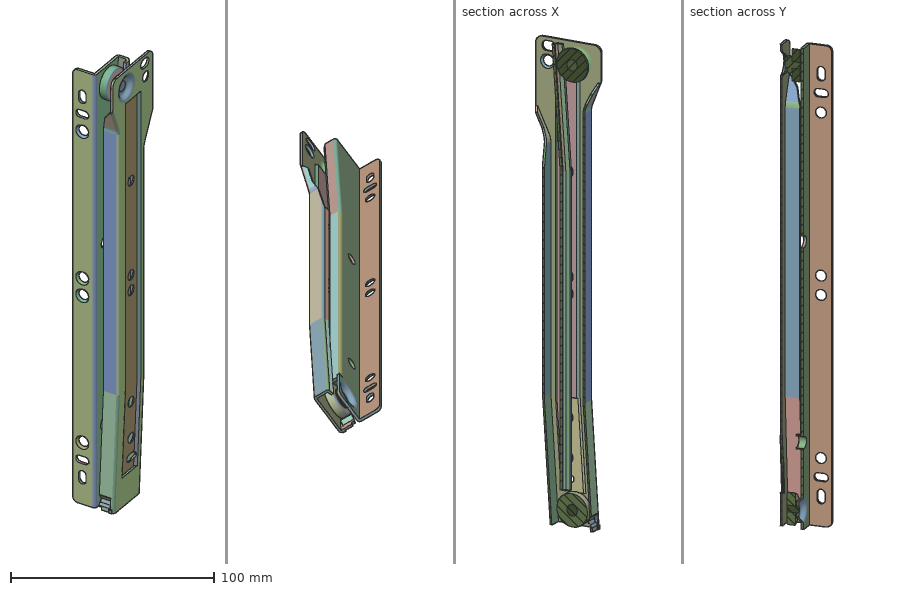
import cadquery as cq


length = 251.2
half_length = length / 2
half_width = 24.4 / 2
half_height = 37.0 / 2
bend_z = 59.0
axle_z = 115.5
axle_y = -5.8
clear = 2.5

drawer_gauge = 1.5
web_x = -0.38
web_inner_x = web_x + drawer_gauge
drawer_top_z = 124.8
flange_edge_x = -half_width
flange_bottom_y = -17.0
flange_top_y = flange_bottom_y + drawer_gauge
flange_corner = 3.0
lip_y = 1.13
lip_rise = 4.5
lip_end_z = -106.0
lip_reach_x = 6.0
hook_x = 7.8
hook_bend = 1.8
hook_drop = 4.8
web_tail_y = 2.3
web_corner = 1.5
flange_hole_x = -6.5
middle_hole_z = 5.0
end_hole_z = 90.0
cross_slot_z = 100.0
long_slot_z = 110.0
slot_length = 7.5
slot_width = 4.3
web_hole_y = -8.5
web_hole_z = 24.0
web_hole_radius = 3.0
collar_z = -80.5
collar_radius = 3.8
collar_height = 2.5
bump_z = -62.5
bump_radius = 2.5
bump_length = 2.0

cabinet_gauge = 1.3
plate_outer_x = half_width
plate_x = plate_outer_x - cabinet_gauge
channel_edge_x = 3.3
rail_end_z = -125.0
channel_drop = 4.3
channel_low_y = -13.0
channel_high_y = 11.0
ear_y = half_height
ear_corner = 3.8
fold_radius = 7.5
ear_low_z = 106.5
channel_low_z = 93.2
ear_high_z = 89.0
channel_high_z = 73.5
channel_lip_z = 52.7
channel_lip_y = 7.5
channel_lip_lean = 0.8
channel_lip_bend = 1.0
lower_taper_points = ((4.5, 96.5), (6.0, 101.5))
slanted_flange_x = 8.5
slanted_flange_low_z = 78.9
slanted_flange_high_z = 86.5
upper_taper_x = 6.8
rib_high_y = 7.3
rib_low_y = -6.8
rib_height = 1.3
rib_slope = 1.5
rib_front_z = 106.8
rib_rear_z = -108.0
rib_panel_y = 4.0
rib_panel_depth = 0.5
cabinet_hole_z = (58.3, 3.8, -5.0, -69.5, -90.5)
cabinet_slot_z = -101.5
ear_hole_y = 11.8
ear_hole_z = 113.0
ear_slot_y = 11.0
ear_slot_z = 121.0
ear_slot_width = 5.3
stop_front_z = -116.8
stop_rear_z = -122.8
stop_depth = 2.0
stop_edge_x = 9.8
foot_y = -17.8
foot_height = 2.0
foot_x = 9.3
flange_notch = 1.5

screw_radius = 2.8
screw_sink_radius = 3.8

dish_radius = 7.8
dish_floor_radius = 3.8
dish_depth = 2.5
roller_radius = 8.8
roller_width = 4.5
roller_edge_fillet = 0.8
roller_gap = 0.38
pin_radius = 2.8
pin_collar_radius = 5.3
pin_collar_chamfer = 0.8


def drop_at(z):
    """Fall of the cabinet channel at a place along Z."""
    return channel_drop * max(0.0, (-bend_z - z) / (-bend_z - rail_end_z))


def x_cylinder(radius, x_start, x_end, y, z):
    return cq.Workplane("YZ", origin=(x_start, y, z)).circle(radius).extrude(x_end - x_start)


def countersunk_hole(point, direction, gauge):
    """Screw hole with a conical seat, cut from a point on the near face along a direction."""
    hole = cq.Solid.makeCylinder(screw_radius, gauge, cq.Vector(*point), cq.Vector(*direction))
    seat = cq.Solid.makeCone(
        screw_sink_radius, screw_radius, gauge, cq.Vector(*point), cq.Vector(*direction)
    )
    return cq.Workplane(seat).union(cq.Workplane(hole))


def run_along_z(section, stations):
    """Solid with one XY section carried in straight stretches through (z, lift) stations."""
    body = None
    for (z_a, lift_a), (z_b, lift_b) in zip(stations, stations[1:]):
        wires = [section(lift).val().moved(cq.Location(cq.Vector(0, 0, z)))
                 for z, lift in ((z_a, lift_a), (z_b, lift_b))]
        stretch = cq.Workplane(cq.Solid.makeLoft(wires, True))
        body = stretch if body is None else body.union(stretch)
    return body


def dish(x_open, direction, z, gauge):
    """Smoothly pressed bowl of sheet, opening at x_open and sinking along X, with a bore for a pin."""
    floor = x_open + direction * dish_depth
    back = direction * gauge
    inward, outward = (0, -1), (0, 1)
    profile = (
        cq.Workplane("XY")
        .moveTo(x_open, dish_radius)
        .spline([(floor, dish_floor_radius)], tangents=[inward, inward], includeCurrent=True)
        .lineTo(floor, pin_radius)
        .lineTo(floor + back, pin_radius)
        .lineTo(floor + back, dish_floor_radius)
        .spline([(x_open + back, dish_radius)], tangents=[outward, outward], includeCurrent=True)
        .close()
    )
    return profile.revolve(360, (0, 0, 0), (1, 0, 0)).translate((0, axle_y, z))


def lip_section(lift):
    """Bend from the web, level lip, sloping shoulder and downturned hook."""
    top = lip_y + lift
    low = top - drawer_gauge
    hook_inner_x = hook_x - drawer_gauge
    edge_y = top - hook_drop
    return (
        cq.Workplane("XY")
        .moveTo(web_x, low)
        .radiusArc((web_inner_x, top), drawer_gauge)
        .lineTo(lip_reach_x, top)
        .lineTo(hook_x, top - hook_bend)
        .lineTo(hook_x, edge_y)
        .lineTo(hook_inner_x, edge_y)
        .lineTo(hook_inner_x, low - hook_bend / 2)
        .lineTo(lip_reach_x - hook_bend / 2, low)
        .close()
    )


def drawer_web():
    low = lip_y - drawer_gauge
    outline = [
        (flange_top_y, -half_length),
        (web_tail_y, -half_length),
        (web_tail_y, lip_end_z),
        (low, lip_end_z),
        (low, bend_z),
        (low + lip_rise, drawer_top_z),
        (flange_top_y, drawer_top_z),
    ]
    web = cq.Workplane("YZ", origin=(web_x, 0, 0)).polyline(outline).close().extrude(drawer_gauge)
    tail_corner = cq.selectors.NearestToPointSelector((web_x, web_tail_y, -half_length))
    return web.edges("|X").edges(tail_corner).fillet(web_corner)


def drawer_flange():
    section = (
        cq.Workplane("XY", origin=(0, 0, -half_length))
        .moveTo(flange_edge_x, flange_bottom_y)
        .lineTo(web_x, flange_bottom_y)
        .radiusArc((web_inner_x, flange_top_y), -drawer_gauge)
        .lineTo(flange_edge_x, flange_top_y)
        .close()
        .extrude(drawer_top_z + half_length)
    )
    return section.edges("|Y and <X").fillet(flange_corner)


def drawer_slot(z, angle):
    return (
        cq.Workplane("XZ", origin=(flange_hole_x, flange_top_y + clear, z))
        .slot2D(slot_length, slot_width, angle)
        .extrude(drawer_gauge + 2 * clear)
    )


def build_drawer_rail():
    stations = [(drawer_top_z, lip_rise), (bend_z, 0), (lip_end_z, 0)]
    rail = drawer_web().union(drawer_flange()).union(run_along_z(lip_section, stations))
    for side in (1, -1):
        for z in (middle_hole_z, end_hole_z):
            point = (flange_hole_x, flange_bottom_y, side * z)
            rail = rail.cut(countersunk_hole(point, (0, 1, 0), drawer_gauge))
        rail = rail.cut(drawer_slot(side * cross_slot_z, 0))
        rail = rail.cut(drawer_slot(side * long_slot_z, 90))

    rail = rail.cut(x_cylinder(dish_radius, web_x, web_inner_x, axle_y, -axle_z))
    rail = rail.union(dish(web_x, 1, -axle_z, drawer_gauge))

    collar_end = web_inner_x + collar_height
    rail = rail.union(x_cylinder(collar_radius, web_x, collar_end, web_hole_y, collar_z))
    for z in (web_hole_z, collar_z):
        rail = rail.cut(x_cylinder(web_hole_radius, web_x - clear, collar_end + clear, web_hole_y, z))

    bump_y = lip_y - drawer_gauge
    bump = x_cylinder(bump_radius, web_inner_x, web_inner_x + bump_length, bump_y, bump_z)
    upper_half = cq.Workplane("XY", origin=(web_inner_x, bump_y + drawer_gauge / 2, bump_z))
    upper_half = upper_half.box(2 * bump_length, bump_radius, 2 * bump_radius, centered=(True, False, True))
    return rail.union(bump.cut(upper_half))


def near_edge(body, x, y, z):
    return body.edges("|X").edges(cq.selectors.NearestToPointSelector((x, y, z)))


def round_folds(body, x, inset, radius):
    """Round the two corners where the slanted ear edges run into the straight channel edges."""
    body = near_edge(body, x, channel_low_y + inset, channel_low_z).fillet(radius)
    return near_edge(body, x, channel_high_y - inset, channel_high_z).fillet(radius)


def cabinet_tray():
    """Plate with front ear and the two flanges folded along its edges."""
    outline = [
        (channel_low_y - channel_drop, rail_end_z),
        (channel_low_y, -bend_z),
        (channel_low_y, channel_low_z),
        (-ear_y, ear_low_z),
        (-ear_y, half_length),
        (ear_y, half_length),
        (ear_y, ear_high_z),
        (channel_high_y, channel_high_z),
        (channel_high_y, -bend_z),
        (channel_high_y - channel_drop, rail_end_z),
    ]
    block = cq.Workplane("YZ", origin=(channel_edge_x, 0, 0)).polyline(outline).close()
    block = block.extrude(plate_outer_x - channel_edge_x)
    middle_x = (channel_edge_x + plate_outer_x) / 2
    block = round_folds(block, middle_x, 0, fold_radius)

    channel_edges = cq.selectors.BoxSelector(
        (plate_x, -ear_y, rail_end_z + clear), (plate_outer_x + clear, ear_y, ear_low_z)
    )
    block = block.edges(channel_edges).fillet(cabinet_gauge)
    lip_edges = cq.selectors.BoxSelector(
        (channel_edge_x - clear, 0, rail_end_z + clear), (channel_edge_x + clear, ear_y, channel_high_z)
    )
    block = block.edges(lip_edges).edges("<X").fillet(channel_lip_bend)
    block = block.edges("|X and >Z").fillet(ear_corner)

    inner_low_y = channel_low_y + cabinet_gauge
    inner_high_y = channel_high_y - cabinet_gauge
    beyond_y = ear_y + clear
    cavity_outline = [
        (inner_low_y - channel_drop, rail_end_z),
        (inner_low_y, -bend_z),
        (inner_low_y, channel_low_z),
        (-ear_y + cabinet_gauge, ear_low_z),
        (-beyond_y, ear_low_z),
        (-beyond_y, half_length + clear),
        (beyond_y, half_length + clear),
        (beyond_y, ear_high_z),
        (ear_y - cabinet_gauge, ear_high_z),
        (inner_high_y, channel_high_z),
        (inner_high_y, -bend_z),
        (inner_high_y - channel_drop, rail_end_z),
    ]
    cavity = cq.Workplane("YZ", origin=(channel_edge_x, 0, 0)).polyline(cavity_outline).close()
    cavity = cavity.extrude(plate_x - channel_edge_x)
    return block.cut(round_folds(cavity, middle_x, cabinet_gauge, fold_radius + cabinet_gauge))


def lower_flange_taper():
    outline = [
        (channel_edge_x, channel_low_z),
        *lower_taper_points,
        (plate_x, ear_low_z + cabinet_gauge),
        (channel_edge_x, ear_low_z + cabinet_gauge),
    ]
    taper = cq.Workplane("XZ", origin=(0, channel_low_y + clear, 0)).polyline(outline).close()
    return taper.extrude(ear_y)


def upper_flange_taper():
    outline = [
        (channel_edge_x, channel_lip_z),
        (upper_taper_x, channel_high_z),
        (slanted_flange_x, slanted_flange_low_z),
        (slanted_flange_x, slanted_flange_high_z),
        (plate_x, ear_high_z),
        (plate_x, ear_high_z + clear),
        (channel_edge_x, ear_high_z + clear),
    ]
    taper = cq.Workplane("XZ", origin=(0, ear_y + clear, 0)).polyline(outline).close()
    return taper.extrude(ear_y + clear - rib_high_y)


def channel_lip_section(lift):
    high = channel_high_y - cabinet_gauge + lift
    low = channel_lip_y + lift
    outline = [
        (channel_edge_x, high),
        (channel_edge_x + cabinet_gauge, high),
        (channel_edge_x + cabinet_gauge - channel_lip_lean, low),
        (channel_edge_x - channel_lip_lean, low),
    ]
    return cq.Workplane("XY").polyline(outline).close()


def rib_prism(x_base):
    """Raised band of the plate, narrowing toward the drawer."""
    def section(lift):
        outline = [
            (x_base, rib_low_y + lift),
            (x_base, rib_high_y + lift),
            (x_base - rib_height, rib_high_y - rib_slope + lift),
            (x_base - rib_height, rib_low_y + rib_slope + lift),
        ]
        return cq.Workplane("XY").polyline(outline).close()

    return run_along_z(section, [(rib_front_z, 0), (-bend_z, 0), (rib_rear_z, -drop_at(rib_rear_z))])


def rib_panel():
    """Shallow sunk panel in the rear part of the rib, parallel to the tilted channel."""
    drop = drop_at(rib_rear_z)
    outline = [
        (rib_panel_y, -bend_z),
        (rib_low_y, -bend_z),
        (rib_low_y - drop, rib_rear_z),
        (rib_panel_y - drop, rib_rear_z),
    ]
    panel = cq.Workplane("YZ", origin=(plate_x - rib_height, 0, 0)).polyline(outline).close()
    return panel.extrude(rib_panel_depth)


def stop_wedge(cover):
    """V-shaped wedge pressed into the lower flange, raised by a cover thickness at its tip."""
    front_y = channel_low_y - drop_at(stop_front_z)
    rear_y = channel_low_y - drop_at(stop_rear_z)
    middle_z = (stop_front_z + stop_rear_z) / 2
    tip_y = (front_y + rear_y) / 2 + stop_depth
    outline = [
        (front_y, stop_front_z),
        (tip_y + cover, middle_z),
        (rear_y, stop_rear_z),
    ]
    wedge = cq.Workplane("YZ", origin=(channel_edge_x, 0, 0)).polyline(outline).close()
    return wedge.extrude(stop_edge_x - channel_edge_x)


def build_cabinet_rail():
    rail = cabinet_tray().cut(lower_flange_taper()).cut(upper_flange_taper())
    lip_stations = [(channel_lip_z, 0), (-bend_z, 0), (rail_end_z, -channel_drop)]
    rail = rail.union(run_along_z(channel_lip_section, lip_stations))
    rail = rail.union(stop_wedge(cabinet_gauge)).cut(stop_wedge(0))

    foot_top = channel_low_y - channel_drop + cabinet_gauge
    foot = cq.Workplane("XY", origin=(foot_x, foot_y, rail_end_z))
    rail = rail.union(foot.box(plate_x - foot_x, foot_top - foot_y, foot_height, centered=False))

    notch = cq.Workplane("XY").box(2 * flange_notch, ear_y, 2 * flange_notch)
    rail = rail.cut(notch.translate((channel_edge_x, channel_low_y - channel_drop, rail_end_z)))

    rail = rail.union(rib_prism(plate_x)).cut(rib_prism(plate_outer_x)).cut(rib_panel())

    rib_y = (rib_low_y + rib_high_y) / 2
    for z in cabinet_hole_z:
        point = (plate_x - rib_height, rib_y, z)
        rail = rail.cut(countersunk_hole(point, (1, 0, 0), cabinet_gauge))
    rail = rail.cut(countersunk_hole((plate_x, ear_hole_y, ear_hole_z), (1, 0, 0), cabinet_gauge))

    slots = (
        (rib_y, cabinet_slot_z, slot_width),
        (ear_slot_y, ear_slot_z, ear_slot_width),
    )
    for y, z, width in slots:
        slot = cq.Workplane("YZ", origin=(plate_x - clear, y, z)).slot2D(slot_length, width)
        rail = rail.cut(slot.extrude(cabinet_gauge + 2 * clear))

    rail = rail.cut(x_cylinder(dish_radius, plate_x, plate_outer_x, axle_y, axle_z))
    return rail.union(dish(plate_outer_x, -1, axle_z, cabinet_gauge))


def build_roller(x_start, z):
    roller = x_cylinder(roller_radius, x_start, x_start + roller_width, axle_y, z)
    roller = roller.edges().fillet(roller_edge_fillet)
    return roller.cut(x_cylinder(pin_radius, x_start, x_start + roller_width, axle_y, z))


def build_pin(x_start, x_end, collar_start, collar_end, z):
    """Shank from roller face to dish floor, with a collar that spaces the roller off the dish."""
    shank = x_cylinder(pin_radius, x_start, x_end, axle_y, z)
    collar = x_cylinder(pin_collar_radius, collar_start, collar_end, axle_y, z)
    chamfer = min(pin_collar_chamfer, (collar_end - collar_start) / 3)
    return shank.union(collar.edges().chamfer(chamfer))


drawer_rail = build_drawer_rail()
cabinet_rail = build_cabinet_rail()

drawer_dish_tip_x = web_inner_x + dish_depth
cabinet_dish_tip_x = plate_x - dish_depth
cabinet_roller_x = web_inner_x + roller_gap
drawer_roller_x = drawer_dish_tip_x + roller_gap

cabinet_roller_end_x = cabinet_roller_x + roller_width
drawer_roller_end_x = drawer_roller_x + roller_width

rollers = [build_roller(cabinet_roller_x, axle_z), build_roller(drawer_roller_x, -axle_z)]
pins = [
    build_pin(
        cabinet_roller_x, plate_outer_x - dish_depth, cabinet_roller_end_x, cabinet_dish_tip_x, axle_z
    ),
    build_pin(
        web_x + dish_depth, drawer_roller_end_x, drawer_dish_tip_x, drawer_roller_x, -axle_z
    ),
]

bodies = [drawer_rail, cabinet_rail, *rollers, *pins]
result = cq.Compound.makeCompound([body.solids().val() for body in bodies])